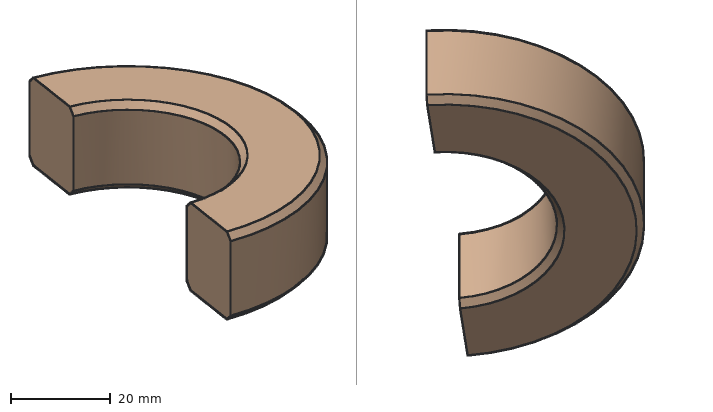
import cadquery as cq

outer_radius = 40.0
inner_radius = 22.5
height = 19.9
chamfer = 1.5
end_setback = 0.5
split_angle = -30.0


def chamfered_ring():
    """Full ring on the XY plane with all four circular edges chamfered."""
    ring = cq.Workplane("XY").circle(outer_radius).circle(inner_radius).extrude(height)
    return ring.edges("%CIRCLE").chamfer(chamfer)


def kept_side():
    """Block covering the side of the split that remains, turned to the split angle."""
    block_width = 3 * outer_radius
    block_depth = 2 * outer_radius
    block = (
        cq.Workplane("XY")
        .rect(block_width, block_depth)
        .extrude(height)
        .translate((0, end_setback + block_depth / 2, 0))
    )
    return block.rotate((0, 0, 0), (0, 0, 1), split_angle)


result = chamfered_ring().intersect(kept_side())